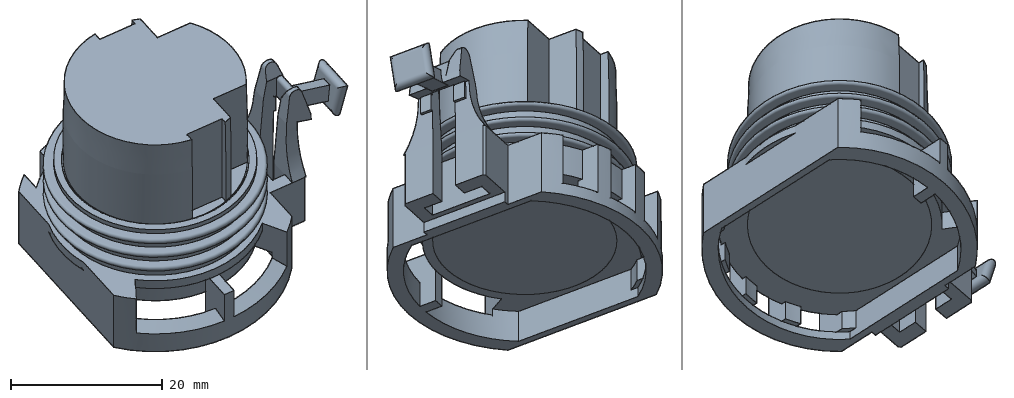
import cadquery as cq
import math

OVERALL_Y = 43.35

BASE_R = 18.2
BASE_H = 9.58
FLAT_Y = 13.95
CAVITY_R = 16.05
CAVITY_Y = 13.0
CAVITY_TOP = 4.85
CUT_MARGIN = 0.45

WINDOW_SPANS = [(-11.6, -7.5), (-5.55, -1.1), (1.13, 5.7), (7.7, 11.9)]
SILL_OUTER_Z = 1.8
SILL_INNER_Z = 1.47
LIP_R = 15.43

RELIEF_CORNER_X = 13.85
RELIEF_END_ANGLE = 30.0
LEDGE_INNER_Z = 3.85
LEDGE_OUTER_Z = 3.3
RIB_W = 1.5
RIB_TOP = 8.15

FLANGE_R = 14.6
FLANGE_H = BASE_H - RIB_TOP
COLLAR_D = 26.85
COLLAR_FOOT_D = 27.1
COLLAR_FOOT_TOP = 10.57
COLLAR_TOP = 17.85
RING_R = 14.8
RING_T = 0.75
RING_COUNT = 3
RING_LOWEST = 11.75
RING_PITCH = 2.5

PLUG_D = 24.35
PLUG_TOP_D = 24.1
PLUG_TAPER_Z = 26.75
PLUG_TOP = 32.1
SEAT_D = 24.8
SEAT_DEPTH = 0.17
NOTCH_FLOOR = COLLAR_TOP - SEAT_DEPTH
CORNER_NOTCH_X = 6.9
CORNER_NOTCH_Y = 4.72
SIDE_NOTCH_X = 10.7
SIDE_NOTCH_Y = (-1.85, 3.65)

BRACKET_X = 6.35
BRACKET_BOTTOM = 1.55
BRACKET_SLOT_X = 4.5
BRACKET_SLOT_Y = 15.45
LEG_FRONT_Y = 17.4
LEG_BACK_Y = 19.6
LEG_GAP_X = 1.78
BRACKET_CHAMFER = 0.25
FOOT_Y = 14.7

KINK_Y = 18.05
KINK_Z = 18.03
HEAD_BACK_Y = 21.9
HEAD_BACK_Z = 18.0
HEAD_TOP = 22.95
HEAD_TOP_Y = (18.95, 20.55)
HEAD_TOP_FILLET = 0.95
UNDER_Y = 19.7
UNDER_Z = 17.6
HEAD_X = 4.05
HEAD_SIDE_Z = 16.9
HEAD_TOP_X = (2.8, 3.42)
HEAD_CHAMFER_Z = 20.9
WEB_FRONT_Y = 20.1
WEB_ROUND = 0.5
WEB_ROUND_Z = 20.45
PAD_X = 3.45
PAD_BACK_Y = 20.0
PAD_Z = (14.9, 17.5)

ARM_TILT = 15.0
PLATE_Z = 16.73
PLATE_T = 1.5
PLATE_L = 4.95
PLATE_W = 5.95
PLATE_REACH = PLATE_T / 2 + (PLATE_L - PLATE_T) / 2 * math.sin(math.radians(ARM_TILT))
PLATE_Y = OVERALL_Y - RING_R - PLATE_REACH
ARM_L = 6.67
ARM_H = 2.3
ARM_BOTTOM_W = 2.5
ARM_TOP_W = 1.45


def span_box(x, y, z):
    """Box between the given (low, high) limits on each axis."""
    size = (x[1] - x[0], y[1] - y[0], z[1] - z[0])
    return cq.Workplane("XY").box(*size, centered=False).translate((x[0], y[0], z[0]))


def disc(radius, bottom, top):
    return cq.Workplane("XY").workplane(offset=bottom).circle(radius).extrude(top - bottom)


def extrude_along_x(points, half_width):
    """Extrude a (y, z) outline symmetrically about the YZ plane."""
    return cq.Workplane("YZ").polyline(points).close().extrude(half_width, both=True)


def revolved(points):
    """Solid of revolution about Z from an (r, z) outline."""
    return cq.Workplane("XZ").polyline(points).close().revolve(360, (0, 0, 0), (0, 1, 0))


def cavity():
    limits = span_box((-BASE_R, BASE_R), (-CAVITY_Y, CAVITY_Y), (0, CAVITY_TOP))
    return disc(CAVITY_R, 0, CAVITY_TOP).intersect(limits)


def wall_lip():
    """Thicker wall beside the windows, from sill level up to the top plate."""
    lip = disc(CAVITY_R, SILL_INNER_Z, CAVITY_TOP).cut(disc(LIP_R, SILL_INNER_Z, CAVITY_TOP))
    limits = span_box((-CAVITY_R, 0), (-CAVITY_Y, CAVITY_Y), (SILL_INNER_Z, CAVITY_TOP))
    return lip.intersect(limits)


def windows():
    """Wall openings: pockets up to the top, breaking into the cavity under the plate."""
    sill_slope = (SILL_OUTER_Z - SILL_INNER_Z) / (BASE_R - CAVITY_R)
    rim_r = BASE_R + CUT_MARGIN
    rim_z = SILL_OUTER_Z + sill_slope * (rim_r - BASE_R)
    pocket = revolved([(CAVITY_R, SILL_INNER_Z), (rim_r, rim_z), (rim_r, BASE_H), (CAVITY_R, BASE_H)])
    opening = pocket.union(disc(CAVITY_R, SILL_INNER_Z, CAVITY_TOP))
    spans = cq.Workplane("XY")
    for span in WINDOW_SPANS:
        spans = spans.add(span_box((-rim_r, 0), span, (0, BASE_H)))
    return opening.intersect(spans.combine())


def relief():
    """Opening of the +X side around the flange, down to the sloped ledge."""
    corner_y = math.sqrt(BASE_R**2 - RELIEF_CORNER_X**2)
    slope = math.tan(math.radians(RELIEF_END_ANGLE))
    rim_r = BASE_R + CUT_MARGIN
    outer_y = corner_y + slope * (rim_r - RELIEF_CORNER_X)
    axis_y = corner_y - slope * RELIEF_CORNER_X
    sector = (
        cq.Workplane("XY")
        .polyline([(0, -axis_y), (rim_r, -outer_y), (rim_r, outer_y), (0, axis_y)])
        .close()
        .extrude(BASE_H)
    )
    core_r = COLLAR_FOOT_D / 2
    ledge_slope = (LEDGE_OUTER_Z - LEDGE_INNER_Z) / (BASE_R - CAVITY_R)
    rim_z = LEDGE_OUTER_Z + ledge_slope * (rim_r - BASE_R)
    opening = revolved([
        (core_r, LEDGE_INNER_Z),
        (CAVITY_R, LEDGE_INNER_Z),
        (rim_r, rim_z),
        (rim_r, BASE_H),
        (core_r, BASE_H),
    ])
    return sector.intersect(opening)


def rib():
    """Radial wall across the relief, from the collar core to the drum outside."""
    wall = span_box((COLLAR_FOOT_D / 2, BASE_R), (-RIB_W / 2, RIB_W / 2), (0, RIB_TOP))
    return wall.intersect(disc(BASE_R, 0, BASE_H))


def base():
    flats = span_box((-BASE_R, BASE_R), (-FLAT_Y, FLAT_Y), (0, BASE_H))
    drum = disc(BASE_R, 0, BASE_H).intersect(flats)
    return drum.cut(cavity()).union(wall_lip()).cut(windows()).cut(relief()).union(rib())


def ring(level):
    """Sealing ring with a flat top and bottom and a full-round rim."""
    flat_r = RING_R - RING_T / 2
    bottom = level - RING_T / 2
    top = level + RING_T / 2
    return (
        cq.Workplane("XZ")
        .moveTo(0, bottom)
        .lineTo(flat_r, bottom)
        .threePointArc((RING_R, level), (flat_r, top))
        .lineTo(0, top)
        .close()
        .revolve(360, (0, 0, 0), (0, 1, 0))
    )


def collar():
    body = disc(FLANGE_R, BASE_H - FLANGE_H, BASE_H)
    body = body.union(disc(COLLAR_FOOT_D / 2, BASE_H, COLLAR_FOOT_TOP))
    body = body.union(disc(COLLAR_D / 2, COLLAR_FOOT_TOP, COLLAR_TOP))
    for index in range(RING_COUNT):
        body = body.union(ring(RING_LOWEST + index * RING_PITCH))
    return body


def plug_bore():
    bore = disc(PLUG_D / 2, CAVITY_TOP, COLLAR_TOP)
    return bore.union(disc(SEAT_D / 2, NOTCH_FLOOR, COLLAR_TOP))


def bracket():
    wide = (-BRACKET_X, BRACKET_X)
    body = span_box(wide, (CAVITY_Y, LEG_BACK_Y), (BRACKET_BOTTOM, BASE_H))
    body = body.edges("|Z and >Y").chamfer(BRACKET_CHAMFER)
    slot_x = (-BRACKET_SLOT_X, BRACKET_SLOT_X)
    body = body.cut(span_box(slot_x, (BRACKET_SLOT_Y, LEG_FRONT_Y), (0, BASE_H)))
    gap_x = (-LEG_GAP_X, LEG_GAP_X)
    body = body.cut(span_box(gap_x, (LEG_FRONT_Y, LEG_BACK_Y), (0, BASE_H)))
    return body.union(span_box(wide, (CAVITY_Y, FOOT_Y), (0, BRACKET_BOTTOM)))


def underside_z(y):
    """Height of the sloped underside shared by the heads, web and arm."""
    return UNDER_Z - (y - UNDER_Y) * math.tan(math.radians(ARM_TILT))


def legs():
    """Two leaning legs with their heads: side profile cut to the outline facing Y."""
    profile = extrude_along_x(
        [
            (LEG_FRONT_Y, BASE_H),
            (KINK_Y, KINK_Z),
            (HEAD_TOP_Y[0], HEAD_TOP),
            (HEAD_TOP_Y[1], HEAD_TOP),
            (HEAD_BACK_Y, HEAD_BACK_Z),
            (HEAD_BACK_Y, underside_z(HEAD_BACK_Y)),
            (UNDER_Y, UNDER_Z),
            (LEG_BACK_Y, BASE_H),
        ],
        BRACKET_X,
    )
    profile = profile.faces(">Z").edges("|X").fillet(HEAD_TOP_FILLET)
    pads = span_box((-PAD_X, PAD_X), (LEG_BACK_Y, PAD_BACK_Y), PAD_Z)
    profile = profile.union(pads)
    one_leg = profile.intersect(leg_outline())
    return one_leg.union(one_leg.mirror("YZ"))


def leg_outline():
    """Outline of one leg in X and Z; its flared side is an arc upright at the head."""
    flare = BRACKET_X - HEAD_X
    drop = HEAD_SIDE_Z - BASE_H
    flare_r = (flare**2 + drop**2) / (2 * flare)
    half_angle = math.asin(drop / flare_r) / 2
    flare_mid = (
        HEAD_X + flare_r * (1 - math.cos(half_angle)),
        HEAD_SIDE_Z - flare_r * math.sin(half_angle),
    )
    return (
        cq.Workplane("XZ")
        .moveTo(LEG_GAP_X, BASE_H)
        .lineTo(BRACKET_X, BASE_H)
        .threePointArc(flare_mid, (HEAD_X, HEAD_SIDE_Z))
        .lineTo(HEAD_TOP_X[1], HEAD_TOP)
        .lineTo(HEAD_TOP_X[0], HEAD_TOP)
        .lineTo(LEG_GAP_X, HEAD_CHAMFER_Z)
        .close()
        .extrude(-HEAD_BACK_Y)
    )


def web():
    """Wall joining the two heads; its round top runs from the front into the leaning back."""
    back_lean = math.atan2(HEAD_BACK_Y - HEAD_TOP_Y[1], HEAD_TOP - HEAD_BACK_Z)
    centre_y = WEB_FRONT_Y + WEB_ROUND
    round_end = (
        centre_y + WEB_ROUND * math.cos(back_lean),
        WEB_ROUND_Z + WEB_ROUND * math.sin(back_lean),
    )
    return (
        cq.Workplane("YZ")
        .moveTo(WEB_FRONT_Y, underside_z(WEB_FRONT_Y))
        .lineTo(WEB_FRONT_Y, WEB_ROUND_Z)
        .threePointArc((centre_y, WEB_ROUND_Z + WEB_ROUND), round_end)
        .lineTo(HEAD_BACK_Y, HEAD_BACK_Z)
        .lineTo(HEAD_BACK_Y, underside_z(HEAD_BACK_Y))
        .close()
        .extrude(LEG_GAP_X, both=True)
    )


def arm_and_plate():
    """Push plate with four full-round sides and its arm, built upright, then tilted."""
    across = cq.Workplane("XY").slot2D(PLATE_W, PLATE_T).extrude(PLATE_L / 2, both=True)
    along = cq.Workplane("YZ").slot2D(PLATE_L, PLATE_T, angle=90).extrude(PLATE_W / 2, both=True)
    plate = across.intersect(along)
    arm = (
        cq.Workplane("XZ")
        .polyline([
            (-ARM_BOTTOM_W / 2, -ARM_H / 2),
            (ARM_BOTTOM_W / 2, -ARM_H / 2),
            (ARM_TOP_W / 2, ARM_H / 2),
            (-ARM_TOP_W / 2, ARM_H / 2),
        ])
        .close()
        .extrude(ARM_L)
    )
    upright = plate.union(arm)
    return upright.rotate((0, 0, 0), (1, 0, 0), -ARM_TILT).translate((0, PLATE_Y, PLATE_Z))


def make_housing():
    latch = bracket().union(legs()).union(web()).union(arm_and_plate())
    return base().union(collar()).cut(plug_bore()).union(latch)


def make_plug():
    body = disc(PLUG_D / 2, CAVITY_TOP, PLUG_TAPER_Z)
    tip = (
        cq.Workplane("XY")
        .workplane(offset=PLUG_TAPER_Z)
        .circle(PLUG_D / 2)
        .workplane(offset=PLUG_TOP - PLUG_TAPER_Z)
        .circle(PLUG_TOP_D / 2)
        .loft(ruled=True)
    )
    body = body.union(tip)
    notch_z = (NOTCH_FLOOR, PLUG_TOP)
    corner = span_box((CORNER_NOTCH_X, PLUG_D), (CORNER_NOTCH_Y, PLUG_D), notch_z)
    side = span_box((SIDE_NOTCH_X, PLUG_D), SIDE_NOTCH_Y, notch_z)
    for notch in (corner, side):
        body = body.cut(notch).cut(notch.mirror("YZ"))
    return body


housing = make_housing()
plug = make_plug()
result = cq.Compound.makeCompound([housing.val(), plug.val()])